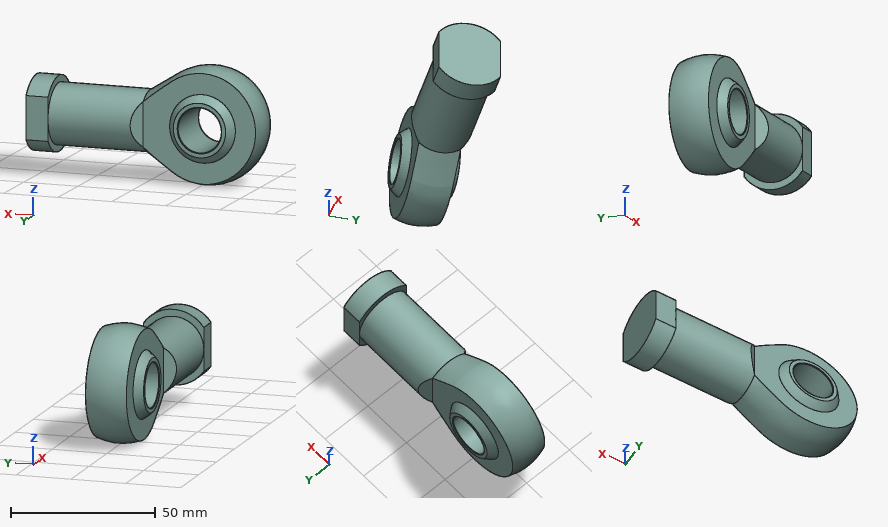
import cadquery as cq
import math

total_length = 85.0
head_radius = 21.0
head_width = 15.0
ball_radius = 14.3
ball_width = 21.0
bore_diameter = 16.0
bore_chamfer = 0.25
barrel_diameter = 22.0
barrel_start = 21.9
flange_diameter = 27.0
flange_length = 8.2
flat_spacing = barrel_diameter

shank_end = total_length - head_radius
flange_start = shank_end - flange_length
barrel_radius = barrel_diameter / 2
flange_radius = flange_diameter / 2


def make_body():
    """Revolve the spherical head, tangent cone, barrel and flange about X."""
    corner_distance = math.hypot(barrel_start, barrel_radius)
    corner_angle = math.atan2(barrel_radius, barrel_start)
    tangent_angle = corner_angle + math.acos(head_radius / corner_distance)
    tangent_x = head_radius * math.cos(tangent_angle)
    tangent_z = head_radius * math.sin(tangent_angle)
    return (
        cq.Workplane("XZ")
        .moveTo(-head_radius, 0)
        .threePointArc((0, head_radius), (tangent_x, tangent_z))
        .lineTo(barrel_start, barrel_radius)
        .lineTo(flange_start, barrel_radius)
        .lineTo(flange_start, flange_radius)
        .lineTo(shank_end, flange_radius)
        .lineTo(shank_end, 0)
        .close()
        .revolve(360, (0, 0, 0), (1, 0, 0))
    )


def make_side_envelope():
    """Solid bounding the width along Y: narrow at the head, 45 degree shoulders, wide to the flange flats."""
    head_half = head_width / 2
    flat_half = flat_spacing / 2
    shoulder_end = barrel_start + flat_half - head_half
    return (
        cq.Workplane("XY")
        .moveTo(-head_radius, -head_half)
        .lineTo(-head_radius, head_half)
        .lineTo(barrel_start, head_half)
        .lineTo(shoulder_end, flat_half)
        .lineTo(shank_end, flat_half)
        .lineTo(shank_end, -flat_half)
        .lineTo(shoulder_end, -flat_half)
        .lineTo(barrel_start, -head_half)
        .close()
        .extrude(head_radius, both=True)
    )


def make_ball():
    """Sphere truncated to its width along Y."""
    slab = cq.Workplane("XY").box(2 * ball_radius, ball_width, 2 * ball_radius)
    return cq.Workplane("XY").sphere(ball_radius).intersect(slab)


def make_bore():
    """Through bore along Y, widened by a small chamfer at both ball faces."""
    bore_radius = bore_diameter / 2
    half_width = ball_width / 2
    mouth_radius = bore_radius + bore_chamfer
    chamfer_start = half_width - bore_chamfer
    return (
        cq.Workplane("XY")
        .moveTo(0, -half_width)
        .lineTo(mouth_radius, -half_width)
        .lineTo(bore_radius, -chamfer_start)
        .lineTo(bore_radius, chamfer_start)
        .lineTo(mouth_radius, half_width)
        .lineTo(0, half_width)
        .close()
        .revolve(360, (0, 0, 0), (0, 1, 0))
    )


rod_end = make_body().intersect(make_side_envelope())
result = rod_end.union(make_ball()).cut(make_bore())